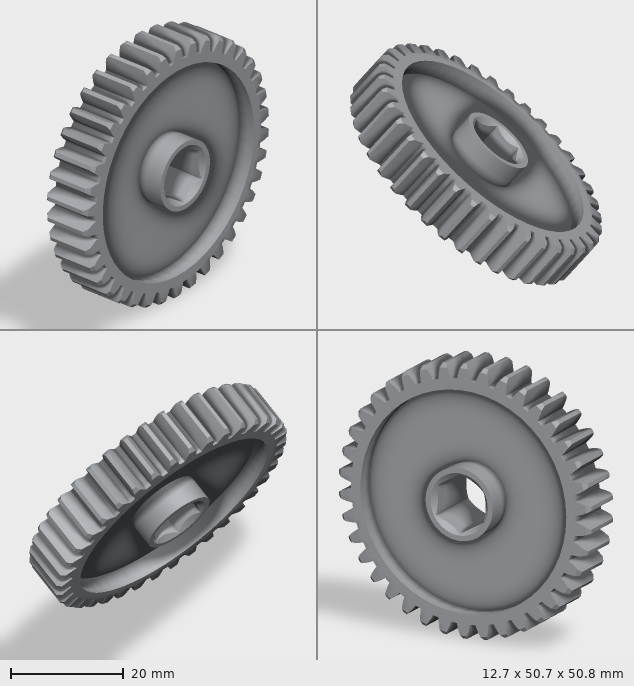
import cadquery as cq
import math

INCH = 25.4

tooth_count = 38
diametral_pitch = 20
pressure_angle = math.radians(20)
module = INCH / diametral_pitch
pitch_radius = module * tooth_count / 2
tip_radius = pitch_radius + module
dedendum_factor = 1.25
root_radius = pitch_radius - dedendum_factor * module
base_radius = pitch_radius * math.cos(pressure_angle)
tooth_thinning = 0.18
root_thickness = 2.6

face_width = 0.375 * INCH
hub_length = 0.5 * INCH
recess_depth = 3.4

recess_diameter = 41.3
hub_diameter = 13.46
hex_across_flats = 9.56
countersink_diameter = 11.5
countersink_half_angle = math.radians(45)
tip_chamfer = 0.7


def involute(angle):
    """Involute function of a pressure angle."""
    return math.tan(angle) - angle


def polar(radius, angle):
    """Point in the YZ plane, with the angle measured from +Z."""
    return (radius * math.sin(angle), radius * math.cos(angle))


def half_tooth_angle(radius):
    """Half the angular thickness of a tooth at the given radius."""
    half_at_pitch = math.pi / (2 * tooth_count) - tooth_thinning / (2 * pitch_radius)
    local_pressure_angle = math.acos(base_radius / radius)
    return half_at_pitch + involute(pressure_angle) - involute(local_pressure_angle)


def centered_cylinder(radius, length):
    """Cylinder on the X axis, centred on the origin."""
    return cq.Workplane("YZ", origin=(-length / 2, 0, 0)).circle(radius).extrude(length)


def toothed_blank():
    """Toothed disc whose flanks are arcs close to an involute, with a tooth centred on +Z."""
    tooth_pitch = 2 * math.pi / tooth_count
    root_half_angle = root_thickness / (2 * root_radius)
    pitch_half_angle = half_tooth_angle(pitch_radius)
    tip_half_angle = half_tooth_angle(tip_radius)

    end_face = cq.Workplane("YZ", origin=(-face_width / 2, 0, 0))
    outline = end_face.moveTo(*polar(root_radius, -root_half_angle))
    for tooth in range(tooth_count):
        center = tooth * tooth_pitch
        rising_middle = polar(pitch_radius, center - pitch_half_angle)
        rising_end = polar(tip_radius, center - tip_half_angle)
        tip_middle = polar(tip_radius, center)
        falling_start = polar(tip_radius, center + tip_half_angle)
        falling_middle = polar(pitch_radius, center + pitch_half_angle)
        falling_end = polar(root_radius, center + root_half_angle)
        root_middle = polar(root_radius, center + tooth_pitch / 2)
        root_end = polar(root_radius, center + tooth_pitch - root_half_angle)
        outline = (
            outline.threePointArc(rising_middle, rising_end)
            .threePointArc(tip_middle, falling_start)
            .threePointArc(falling_middle, falling_end)
            .threePointArc(root_middle, root_end)
        )
    return outline.close().extrude(face_width)


def chamfer_tooth_ends(gear):
    """Bevel both ends of the tooth tips with a chamfered disc."""
    envelope = centered_cylinder(tip_radius, face_width).edges("%CIRCLE").chamfer(tip_chamfer)
    return gear.intersect(envelope)


def cut_recesses(gear):
    """Sink a round recess into each face, leaving a thin web."""
    web_width = face_width - 2 * recess_depth
    recess_radius = recess_diameter / 2
    ring = centered_cylinder(recess_radius, face_width).cut(centered_cylinder(recess_radius, web_width))
    return gear.cut(ring)


def cut_hex_bore(gear):
    """Hexagonal through bore with corners on the Z axis."""
    corner_diameter = hex_across_flats / math.cos(math.pi / 6)
    bore = (
        cq.Workplane("YZ", origin=(-hub_length / 2, 0, 0))
        .transformed(rotate=(0, 0, 90))
        .polygon(6, corner_diameter)
        .extrude(hub_length)
    )
    return gear.cut(bore)


def countersink_bore(gear):
    """Conical lead-in at both ends of the bore."""
    cone_radius = countersink_diameter / 2
    cone_depth = cone_radius / math.tan(countersink_half_angle)
    for side in (-1, 1):
        mouth = cq.Vector(side * hub_length / 2, 0, 0)
        cone = cq.Solid.makeCone(cone_radius, 0, cone_depth, mouth, cq.Vector(-side, 0, 0))
        gear = gear.cut(cq.Workplane(cone))
    return gear


result = chamfer_tooth_ends(toothed_blank())
result = cut_recesses(result)
result = result.union(centered_cylinder(hub_diameter / 2, hub_length))
result = cut_hex_bore(result)
result = countersink_bore(result)